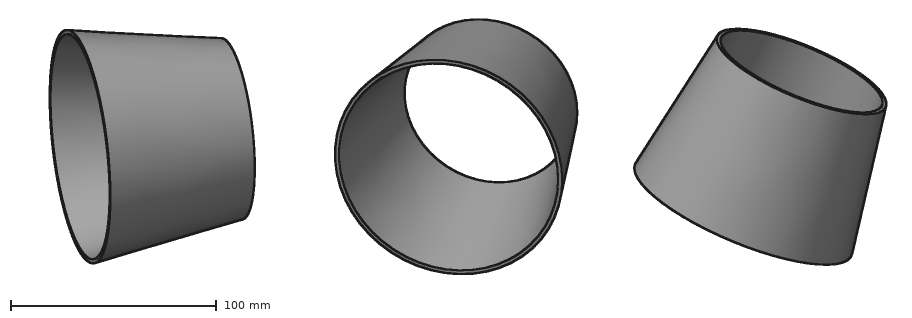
import cadquery as cq

large_diameter = 114.3
small_diameter = 88.9
length = 76.0
wall = 2.1

large_radius = large_diameter / 2
small_radius = small_diameter / 2

wall_section = (
    cq.Workplane("XY")
    .moveTo(large_radius - wall, 0)
    .lineTo(large_radius, 0)
    .lineTo(small_radius, length)
    .lineTo(small_radius - wall, length)
    .close()
)

result = wall_section.revolve(360, (0, 0, 0), (0, 1, 0))